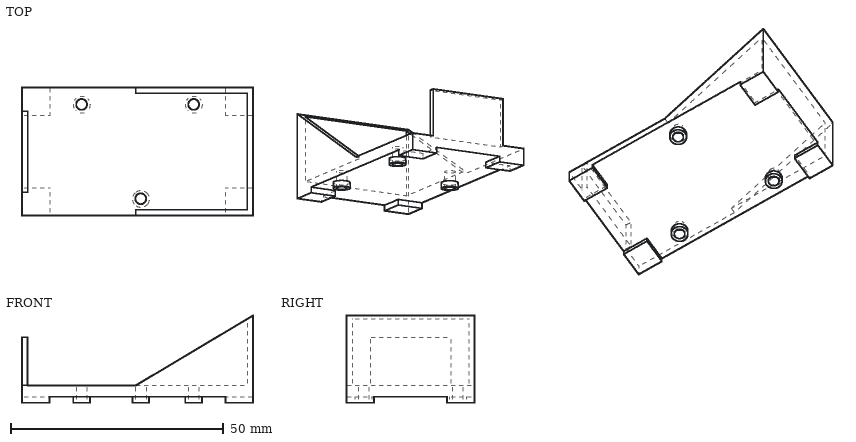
import cadquery as cq

length = 54.5
width = 30.25
height = 20.6

foot_height = 1.35
foot_size = 6.55
base_thickness = 2.7
base_top = foot_height + base_thickness

wall = 1.35
slope_start = 26.8
tab_width = 19.1
tab_height = 11.4

hole_diameter = 2.5
boss_diameter = 4.0
hole_offset = 11.1
hole_centers = [(14.05, hole_offset), (28.0, -hole_offset), (40.5, hole_offset)]


def block(x_size, y_size, z_size, x, y, z):
    """Box that starts at x, is centred on y and stands on z."""
    return (
        cq.Workplane("XY")
        .box(x_size, y_size, z_size, centered=(False, True, False))
        .translate((x, y, z))
    )


def wedge(y_size, y):
    """Wedge centred on y that rises from the middle of the base to the back end."""
    return (
        cq.Workplane("XZ", origin=(0, y, 0))
        .moveTo(slope_start, base_top)
        .lineTo(length, height)
        .lineTo(length, base_top)
        .close()
        .extrude(y_size / 2, both=True)
    )


result = block(length, width, base_thickness, 0, 0, foot_height)

for side in (-1, 1):
    result = result.union(wedge(wall, side * (width - wall) / 2))

back_wall = block(wall, width, height - base_top, length - wall, 0, base_top)
result = result.union(back_wall.intersect(wedge(width, 0)))

result = result.union(block(wall, tab_width, tab_height, 0, 0, base_top))

for x in (0, length - foot_size):
    for side in (-1, 1):
        y = side * (width - foot_size) / 2
        result = result.union(block(foot_size, foot_size, foot_height, x, y, 0))

bosses = (
    cq.Workplane("XY")
    .pushPoints(hole_centers)
    .circle(boss_diameter / 2)
    .extrude(foot_height)
)
holes = (
    cq.Workplane("XY")
    .pushPoints(hole_centers)
    .circle(hole_diameter / 2)
    .extrude(base_top)
)
result = result.union(bosses).cut(holes)